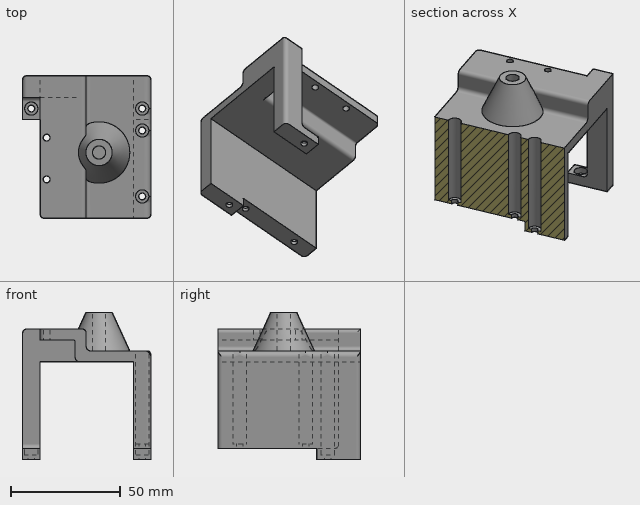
import cadquery as cq

width = 58.5
depth = 65.0
leg_thickness = 8.0
plate_thickness = 5.0
back_frame_depth = 10.0
back_frame_y = depth - back_frame_depth

foot_height = 5.0
shelf_top = 59.5
deck_top = 49.5
shelf_bottom = shelf_top - plate_thickness
deck_bottom = deck_top - plate_thickness

step_outer_x = 29.0
step_inner_x = step_outer_x - plate_thickness
right_leg_x = width - leg_thickness

edge_radius = 2.0
deck_edge_radius = 3.0
shelf_inner_radius = 1.0

foot_length = 20.0
foot_y = depth - foot_length

cone_x = 34.85
cone_y = 30.0
cone_top_z = 67.0
cone_top_radius = 6.0
cone_base_radius = 14.0
cone_bore_diameter = 6.0

screw_diameter = 3.0
counterbore_diameter = 6.0
screw_seat_thickness = 2.0
foot_screw_inset = 15.0
screw_y = depth - foot_screw_inset
left_screw_x = leg_thickness / 2
right_screw_x = width - leg_thickness / 2
wall_screw_ys = [10.0, 40.0, screw_y]
shelf_hole_inset = 3.0
shelf_hole_x = leg_thickness + shelf_hole_inset
shelf_hole_ys = [17.75, 36.75]


def box(x0, x1, y0, y1, z0, z1):
    """Axis-aligned block between two opposite corners."""
    return cq.Workplane("XY").box(x1 - x0, y1 - y0, z1 - z0, centered=False).translate((x0, y0, z0))


def round_edge(body, axis, point, radius):
    """Fillet the edge parallel to the given axis that lies nearest to the point."""
    return body.edges("|" + axis).edges(cq.selectors.NearestToPointSelector(point)).fillet(radius)


def vertical_hole(x, y, z0, z1, diameter):
    """Cylinder used to cut a vertical hole."""
    return cq.Workplane("XY", origin=(x, y, z0)).circle(diameter / 2).extrude(z1 - z0)


def make_stepped_plate():
    """Raised shelf, step and lower deck, with the right wall below the deck."""
    outline = [
        (leg_thickness, shelf_top),
        (step_outer_x, shelf_top),
        (step_outer_x, deck_top),
        (width, deck_top),
        (width, foot_height),
        (right_leg_x, foot_height),
        (right_leg_x, deck_bottom),
        (step_inner_x, deck_bottom),
        (step_inner_x, shelf_bottom),
        (leg_thickness, shelf_bottom),
    ]
    plate = cq.Workplane("XZ").polyline(outline).close().extrude(-depth)
    mid_y = depth / 2
    plate = round_edge(plate, "Y", (step_outer_x, mid_y, shelf_top), edge_radius)
    plate = round_edge(plate, "Y", (step_outer_x, mid_y, deck_top), edge_radius)
    plate = round_edge(plate, "Y", (step_inner_x, mid_y, deck_bottom), edge_radius)
    plate = round_edge(plate, "Y", (step_inner_x, mid_y, shelf_bottom), shelf_inner_radius)
    return round_edge(plate, "Z", (leg_thickness, 0, (shelf_top + shelf_bottom) / 2), edge_radius)


def make_left_leg():
    """Left rear leg, L-shaped from the side, with its foot pointing to the front."""
    outline = [
        (depth, 0),
        (depth, shelf_top),
        (back_frame_y, shelf_top),
        (back_frame_y, foot_height),
        (foot_y, foot_height),
        (foot_y, 0),
    ]
    leg = cq.Workplane("YZ").polyline(outline).close().extrude(leg_thickness)
    leg = round_edge(leg, "X", (leg_thickness / 2, back_frame_y, foot_height), edge_radius)
    return round_edge(leg, "Y", (0, (back_frame_y + depth) / 2, shelf_top), edge_radius)


def make_frame():
    """Bracket without the cone, holes and outer roundings."""
    rear_beam = box(leg_thickness, step_outer_x - edge_radius, back_frame_y, depth, deck_bottom, shelf_top)
    right_foot = box(right_leg_x, width, foot_y, depth, 0, foot_height)
    return make_stepped_plate().union(make_left_leg()).union(rear_beam).union(right_foot).clean()


def cut_screw_holes(frame):
    """Counterbored screw holes in the left foot and down through the right wall."""
    screws = [(left_screw_x, screw_y, foot_height)]
    for y in wall_screw_ys:
        screws.append((right_screw_x, y, deck_top))
    for x, y, entry_z in screws:
        underside = 0 if y > foot_y else foot_height
        floor = underside + screw_seat_thickness
        frame = frame.cut(vertical_hole(x, y, 0, entry_z, screw_diameter))
        frame = frame.cut(vertical_hole(x, y, floor, entry_z, counterbore_diameter))
    return frame


def cut_shelf_holes(frame):
    """Plain holes along the free edge of the shelf."""
    for y in shelf_hole_ys:
        frame = frame.cut(vertical_hole(shelf_hole_x, y, shelf_bottom, shelf_top, screw_diameter))
    return frame


def add_cone(frame):
    """Tapered boss standing on the deck and overlapping the step, bored down to deck level."""
    profile = [
        (0, deck_top),
        (cone_base_radius, deck_top),
        (cone_top_radius, cone_top_z),
        (0, cone_top_z),
    ]
    cone = cq.Workplane("XZ").polyline(profile).close().revolve(360, (0, 0, 0), (0, 1, 0))
    under_shelf = box(0, step_inner_x, 0, depth, 0, shelf_bottom)
    cone = cone.translate((cone_x, cone_y, 0)).cut(under_shelf)
    bore = vertical_hole(cone_x, cone_y, deck_top, cone_top_z, cone_bore_diameter)
    return frame.union(cone).cut(bore)


def round_outer_edges(frame):
    """Round the right edge of the deck past the counterbores, then the upright outer corners."""
    frame = round_edge(frame, "Y", (width, depth / 2, deck_top), deck_edge_radius)
    envelope = box(0, width, 0, depth, 0, shelf_top)
    for x, y in [(0, depth), (width, depth), (width, 0)]:
        envelope = round_edge(envelope, "Z", (x, y, shelf_top / 2), edge_radius)
    return frame.intersect(envelope)


frame = make_frame()
frame = cut_screw_holes(frame)
frame = round_outer_edges(frame)
frame = cut_shelf_holes(frame)
result = add_cone(frame)